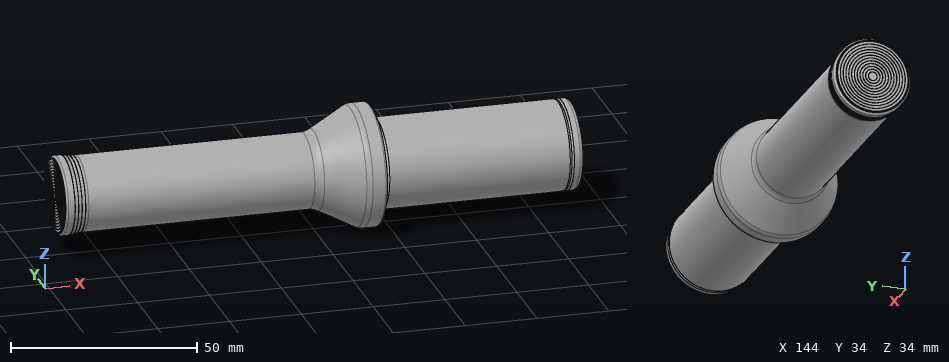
import cadquery as cq
import math

TOTAL_LENGTH = 144.0

TIP_RADIUS = 11.0
TIP_FILLET = 0.6
PAD_RADIUS = 10.2
PAD_HEIGHT = 0.3
TIP_LENGTH = 2.7
TAPER_END = 6.6
FACE_GROOVE_WIDTH = 0.79
FACE_GROOVE_PITCH = 2 * FACE_GROOVE_WIDTH
SIDE_GROOVE_WIDTH = 1.0
SIDE_GROOVE_PITCH = 2 * SIDE_GROOVE_WIDTH
GROOVE_DEPTH = 0.1
FIRST_FACE_GROOVE = 1.22
FACE_GROOVE_COUNT = 6
FIRST_SIDE_GROOVE = TIP_LENGTH
SIDE_GROOVE_COUNT = 2

STEM_RADIUS = 21.0 / 2
STEM_END = 69.5
FLANGE_RADIUS = 34.0 / 2
FLANGE_END = 88.1
FLANGE_EDGE_FILLET = 0.6
CONE_ANGLE = math.radians(28)
CONE_FOOT_BLEND = 5.5
CONE_TOP_BLEND = 3.5

SHANK_RADIUS = 25.0 / 2
RELIEF_RADIUS = 24.5 / 2
RELIEF_END = 89.0
RELIEF_TAPER_END = 89.9

CAP_START = 140.7
JOINT_BEVEL_LENGTH = 0.6
JOINT_RADIUS = RELIEF_RADIUS
CAP_FILLET = 1.2


def corner_middle(radius):
    """Distance from a square corner's tangent lines to the middle of its fillet."""
    return radius * (1 - math.sqrt(0.5))


def ring(start, length, outer, inner):
    """Tube along X from start, between the two radii."""
    return cq.Workplane("YZ", origin=(start, 0, 0)).circle(outer).circle(inner).extrude(length)


def blend_point(radius, angle):
    """Axial run and radial rise of an arc that turns away from the axis by angle."""
    return radius * math.sin(angle), radius * (1 - math.cos(angle))


def make_blank():
    """Revolved tip, stem, cone, flange and shank, without the tip's grooves."""
    foot_run, foot_rise = blend_point(CONE_FOOT_BLEND, CONE_ANGLE)
    foot_mid_run, foot_mid_rise = blend_point(CONE_FOOT_BLEND, CONE_ANGLE / 2)
    top_run, top_drop = blend_point(CONE_TOP_BLEND, CONE_ANGLE)
    top_mid_run, top_mid_drop = blend_point(CONE_TOP_BLEND, CONE_ANGLE / 2)

    cone_start = STEM_END + foot_run
    cone_base = STEM_RADIUS + foot_rise
    cone_top = FLANGE_RADIUS - top_drop
    cone_end = cone_start + (cone_top - cone_base) / math.tan(CONE_ANGLE)
    rim_start = cone_end + top_run

    tip_mid = corner_middle(TIP_FILLET)
    edge_mid = corner_middle(FLANGE_EDGE_FILLET)
    profile = (
        cq.Workplane("XY")
        .lineTo(0, PAD_RADIUS)
        .lineTo(PAD_HEIGHT, PAD_RADIUS)
        .lineTo(PAD_HEIGHT, TIP_RADIUS - TIP_FILLET)
        .threePointArc(
            (PAD_HEIGHT + tip_mid, TIP_RADIUS - tip_mid),
            (PAD_HEIGHT + TIP_FILLET, TIP_RADIUS),
        )
        .lineTo(TIP_LENGTH, TIP_RADIUS)
        .lineTo(TAPER_END, STEM_RADIUS)
        .lineTo(STEM_END, STEM_RADIUS)
        .threePointArc((STEM_END + foot_mid_run, STEM_RADIUS + foot_mid_rise), (cone_start, cone_base))
        .lineTo(cone_end, cone_top)
        .threePointArc((rim_start - top_mid_run, FLANGE_RADIUS - top_mid_drop), (rim_start, FLANGE_RADIUS))
        .lineTo(FLANGE_END - FLANGE_EDGE_FILLET, FLANGE_RADIUS)
        .threePointArc(
            (FLANGE_END - edge_mid, FLANGE_RADIUS - edge_mid),
            (FLANGE_END, FLANGE_RADIUS - FLANGE_EDGE_FILLET),
        )
        .lineTo(FLANGE_END, RELIEF_RADIUS)
        .lineTo(RELIEF_END, RELIEF_RADIUS)
        .lineTo(RELIEF_TAPER_END, SHANK_RADIUS)
        .lineTo(CAP_START - JOINT_BEVEL_LENGTH, SHANK_RADIUS)
        .lineTo(CAP_START, JOINT_RADIUS)
        .lineTo(CAP_START, 0)
        .close()
    )
    return profile.revolve(360, (0, 0, 0), (1, 0, 0))


def cut_face_grooves(body):
    """Concentric square grooves in the flat face of the pad."""
    for index in range(FACE_GROOVE_COUNT):
        inner = FIRST_FACE_GROOVE + index * FACE_GROOVE_PITCH
        body = body.cut(ring(0, GROOVE_DEPTH, inner + FACE_GROOVE_WIDTH, inner))
    return body


def cut_side_grooves(body):
    """Shallow grooves around the taper behind the tip."""
    for index in range(SIDE_GROOVE_COUNT):
        start = FIRST_SIDE_GROOVE + index * SIDE_GROOVE_PITCH
        middle = start + SIDE_GROOVE_WIDTH / 2
        taper_fraction = (middle - TIP_LENGTH) / (TAPER_END - TIP_LENGTH)
        surface = TIP_RADIUS + taper_fraction * (STEM_RADIUS - TIP_RADIUS)
        body = body.cut(ring(start, SIDE_GROOVE_WIDTH, FLANGE_RADIUS, surface - GROOVE_DEPTH))
    return body


def make_tool_body():
    return cut_side_grooves(cut_face_grooves(make_blank()))


def make_end_cap():
    """Disc with a beveled edge against the shank and a rounded outer rim."""
    rim_mid = corner_middle(CAP_FILLET)
    profile = (
        cq.Workplane("XY")
        .moveTo(CAP_START, 0)
        .lineTo(CAP_START, JOINT_RADIUS)
        .lineTo(CAP_START + JOINT_BEVEL_LENGTH, SHANK_RADIUS)
        .lineTo(TOTAL_LENGTH - CAP_FILLET, SHANK_RADIUS)
        .threePointArc(
            (TOTAL_LENGTH - rim_mid, SHANK_RADIUS - rim_mid),
            (TOTAL_LENGTH, SHANK_RADIUS - CAP_FILLET),
        )
        .lineTo(TOTAL_LENGTH, 0)
        .close()
    )
    return profile.revolve(360, (0, 0, 0), (1, 0, 0))


tool_body = make_tool_body()
end_cap = make_end_cap()

result = cq.Compound.makeCompound([tool_body.val(), end_cap.val()])